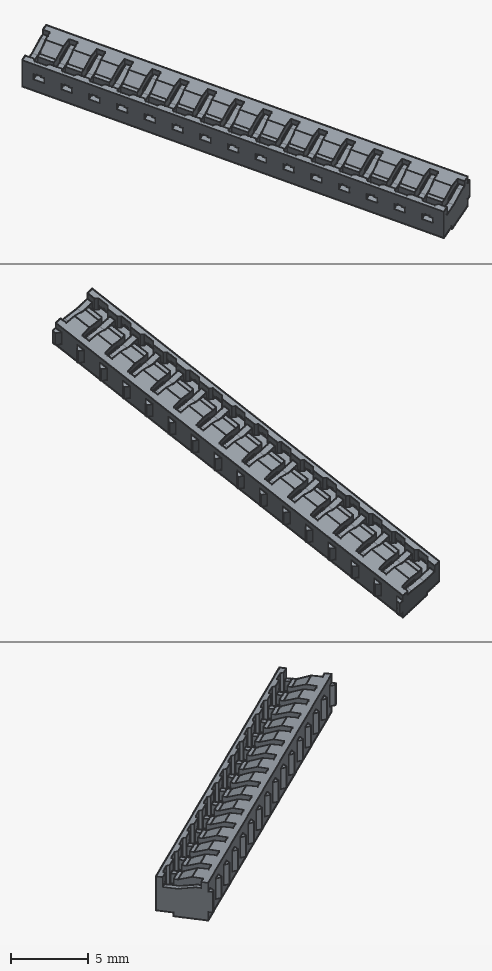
import cadquery as cq

positions = 15
pitch = 2.0
length = 30.4
body_depth = 3.5
height = 2.75
first_position_x = (length - (positions - 1) * pitch) / 2
position_xs = [first_position_x + i * pitch for i in range(positions)]
divider_xs = [first_position_x + (i - 0.5) * pitch for i in range(positions + 1)]

front_wall = 0.46
front_underside_z = 0.27
underside_step_y = 1.18

tongue_front_y = 1.02
tongue_slope_front_y = 1.32
tongue_slope_back_y = 2.29
tongue_tip_z = 2.39
tongue_front_width = 1.165
tongue_root_width = 1.385

slot_width = 0.46
slot_back_y = 3.03
slot_slope_back_y = 2.66
slot_slope_front_y = 1.46
slot_back_z = 2.31
slot_front_z = 2.04

gap_floor_drop = 0.1
gap_floor_front_y = 1.77

relief_front_y = 0.27
relief_mouth_width = 1.16
relief_floor_width = 0.82

window_width = 0.78
window_bottom_z = 1.33
window_top_z = 1.79
notch_width = 0.3
notch_depth = 0.2
notch_top_z = 1.87

rib_projection = 0.3
rib_base_width = 0.64
rib_tip_width = 0.12
rib_bottom_z = 0.63
rib_top_z = 2.12

over_cut = 0.5


def box(x_center, width, y_min, y_max, z_min, z_max):
    """Axis-aligned block, centred on x_center."""
    corner = (x_center - width / 2, y_min, z_min)
    return cq.Workplane("XY").box(width, y_max - y_min, z_max - z_min, centered=False).translate(corner)


def side_prism(outline, x_center, width):
    """Prism along X from a list of (y, z) points, centred on x_center."""
    start = x_center - width / 2
    return cq.Workplane("YZ").polyline(outline).close().extrude(width).translate((start, 0, 0))


def make_body():
    outline = [
        (0, front_underside_z),
        (underside_step_y, front_underside_z),
        (underside_step_y, 0),
        (body_depth, 0),
        (body_depth, height),
        (tongue_slope_back_y, height),
        (tongue_slope_front_y, tongue_tip_z),
        (tongue_front_y, tongue_tip_z),
        (tongue_front_y, slot_front_z),
        (front_wall, slot_front_z),
        (front_wall, height),
        (0, height),
    ]
    return side_prism(outline, length / 2, length)


def make_rib(x_center):
    """Tapered rib; at either end of the row its outer flank is cut square with the end face."""
    back_y = body_depth + rib_projection
    base_left = max(x_center - rib_base_width / 2, 0)
    base_right = min(x_center + rib_base_width / 2, length)
    tip_left = x_center - rib_tip_width / 2 if base_left > 0 else 0
    tip_right = x_center + rib_tip_width / 2 if base_right < length else length
    outline = [
        (base_left, body_depth),
        (base_right, body_depth),
        (tip_right, back_y),
        (tip_left, back_y),
    ]
    rib = cq.Workplane("XY").polyline(outline).close().extrude(rib_top_z - rib_bottom_z)
    return rib.translate((0, 0, rib_bottom_z))


def slot_cutter(x_center):
    outline = [
        (front_wall, slot_front_z),
        (slot_slope_front_y, slot_front_z),
        (slot_slope_back_y, slot_back_z),
        (slot_back_y, slot_back_z),
        (slot_back_y, height + over_cut),
        (front_wall, height + over_cut),
    ]
    return side_prism(outline, x_center, slot_width)


def tapered_prism(x_center, y_front, front_width, y_back, back_width, z_bottom, z_top):
    """Vertical prism whose plan is a trapezoid symmetric about x_center."""
    outline = [
        (x_center - front_width / 2, y_front),
        (x_center + front_width / 2, y_front),
        (x_center + back_width / 2, y_back),
        (x_center - back_width / 2, y_back),
    ]
    return cq.Workplane("XY").workplane(offset=z_bottom).polyline(outline).close().extrude(z_top - z_bottom)


def tongue_prism(x_center):
    return tapered_prism(
        x_center,
        tongue_front_y,
        tongue_front_width,
        slot_back_y,
        tongue_root_width,
        window_bottom_z,
        height + over_cut,
    )


def tongue_clearance(x_center):
    """Space around one tongue: a well at its front and a sloping-floored gap along each flank."""
    well_width = pitch - slot_width
    top_z = height + over_cut
    floor_slope = (slot_back_z - slot_front_z) / (slot_slope_back_y - slot_slope_front_y)
    gap_back_z = slot_back_z - gap_floor_drop
    gap_front_z = gap_back_z - floor_slope * (slot_slope_back_y - gap_floor_front_y)
    outline = [
        (front_wall, window_bottom_z),
        (gap_floor_front_y, window_bottom_z),
        (gap_floor_front_y, gap_front_z),
        (slot_slope_back_y, gap_back_z),
        (slot_back_y, gap_back_z),
        (slot_back_y, top_z),
        (front_wall, top_z),
    ]
    return side_prism(outline, x_center, well_width).cut(tongue_prism(x_center))


def relief_cutter(x_center):
    """Hollow in the inner side of the front wall, facing the tongue tip."""
    return tapered_prism(
        x_center,
        relief_front_y,
        relief_floor_width,
        front_wall,
        relief_mouth_width,
        window_bottom_z,
        height + over_cut,
    )


def window_cutter(x_center):
    opening = box(x_center, window_width, 0, front_wall, window_bottom_z, window_top_z)
    notch = box(x_center, notch_width, 0, notch_depth, window_top_z, notch_top_z)
    return opening.union(notch)


cutters = []
for x in divider_xs:
    cutters.append(slot_cutter(x))
for x in position_xs:
    cutters.append(tongue_clearance(x))
    cutters.append(relief_cutter(x))
    cutters.append(window_cutter(x))
ribs = [make_rib(x) for x in divider_xs]

body = make_body().val()
body = body.cut(*[solid for cutter in cutters for solid in cutter.solids().vals()])
body = body.fuse(*[rib.val() for rib in ribs])
result = cq.Workplane("XY").newObject([body.clean().Solids()[0]])